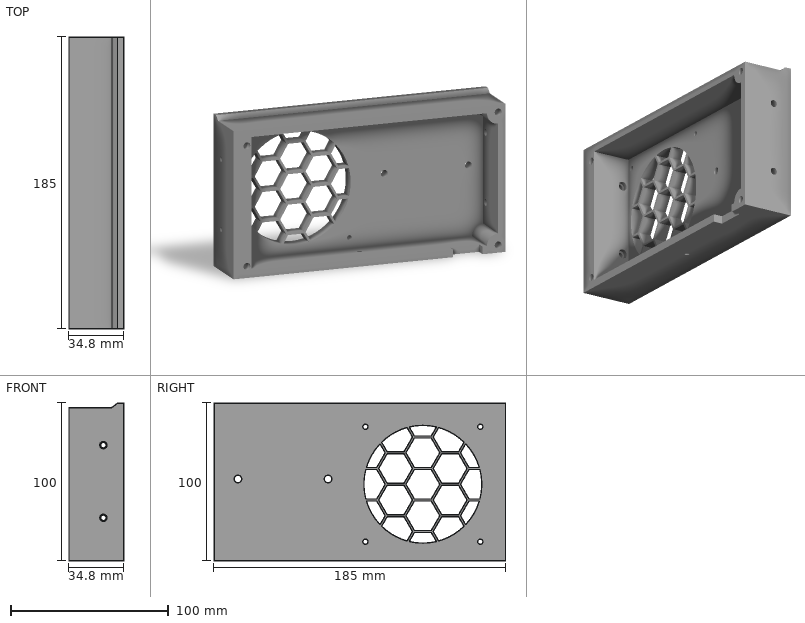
import cadquery as cq
import math

depth = 34.8
length = 185.0
height = 100.0
lip_rise = 2.8
body_height = height - lip_rise
lip_start = 27.2
lip_flat_start = 30.7

wall = 5.0
thick_wall = 12.2
plate = 8.7
cavity_depth = depth - plate
cavity_right = -length / 2 + wall
cavity_left = length / 2 - thick_wall
cavity_top = body_height - wall
corner_post_radius = 7.5

cover_hole = 4.6
cover_hole_depth = 10.0
thick_wall_cover_y = 83.5
thick_wall_cover_zs = (7.5, 86.8)
post_cover_zs = (wall, cavity_top)

fan_y = 40.0
fan_z = body_height / 2
fan_opening = 74.5
fan_screw_pitch = 72.9
fan_screw_hole = 3.1
cell_pitch = 20.0
rib = 1.5
columns_each_side = 2
rows_each_side = 3

plate_hole = 4.6
plate_hole_z = 52.0
plate_hole_ys = (-20.2, -77.3)

end_hole_x = 21.8
end_hole_zs = (27.4, 73.5)
end_insert_hole = 4.6
end_screw_hole = 3.3
end_head_hole = 6.0
end_head_depth = 3.0

notch_width = 20.2
notch_center = -66.8
notch_depth = 6.3
floor_hole = 3.1
floor_hole_x = depth / 2


def cylinder_x(diameter, y, z, start, end):
    """Cylinder along X between two X positions."""
    return cq.Workplane("YZ", origin=(start, y, z)).circle(diameter / 2).extrude(end - start)


def cylinder_y(diameter, x, z, start, end):
    """Cylinder along Y between two Y positions."""
    return cq.Workplane("XZ", origin=(x, end, z)).circle(diameter / 2).extrude(end - start)


def make_body():
    """Solid block with a sloped lip along the top of the closed side."""
    profile = [
        (0, 0),
        (depth, 0),
        (depth, height),
        (lip_flat_start, height),
        (lip_start, body_height),
        (0, body_height),
    ]
    return cq.Workplane("XZ").polyline(profile).close().extrude(length / 2, both=True)


def make_cavity():
    """Inside space, leaving a round screw post in both corners at the thin end wall."""
    width = cavity_left - cavity_right
    cavity = cq.Workplane("XY").box(cavity_depth, width, cavity_top - wall, centered=False)
    cavity = cavity.translate((0, cavity_right, wall))
    for z in post_cover_zs:
        cavity = cavity.cut(cylinder_x(2 * corner_post_radius, cavity_right, z, 0, cavity_depth))
    return cavity


def make_grille_openings():
    """Hexagonal cells through the plate, trimmed to the round fan opening."""
    corner_diameter = (cell_pitch - rib) / math.cos(math.pi / 6)
    column_pitch = cell_pitch * math.cos(math.pi / 6)
    centers = []
    for column in range(-columns_each_side, columns_each_side + 1):
        shift = 0.5 * (column % 2)
        for row in range(-rows_each_side, rows_each_side + 1):
            centers.append((column * column_pitch, (row + shift) * cell_pitch))
    cells = (
        cq.Workplane("YZ", origin=(cavity_depth, fan_y, fan_z))
        .pushPoints(centers)
        .polygon(6, corner_diameter)
        .extrude(plate)
    )
    return cells.intersect(cylinder_x(fan_opening, fan_y, fan_z, cavity_depth, depth))


def make_cover_holes():
    """Blind holes in the open rim: two in the thick end wall, two in the corner posts."""
    centers = [(thick_wall_cover_y, z) for z in thick_wall_cover_zs]
    centers += [(cavity_right, z) for z in post_cover_zs]
    return [cylinder_x(cover_hole, y, z, 0, cover_hole_depth) for y, z in centers]


def make_plate_holes():
    """Four fan screw holes and two larger plain holes through the plate."""
    half_pitch = fan_screw_pitch / 2
    holes = []
    for y in (fan_y - half_pitch, fan_y + half_pitch):
        for z in (fan_z - half_pitch, fan_z + half_pitch):
            holes.append(cylinder_x(fan_screw_hole, y, z, cavity_depth, depth))
    for y in plate_hole_ys:
        holes.append(cylinder_x(plate_hole, y, plate_hole_z, cavity_depth, depth))
    return holes


def make_end_wall_holes():
    """Plain holes in the thin end wall and, in line, counterbored ones in the thick end wall."""
    head_end = cavity_left + end_head_depth
    holes = []
    for z in end_hole_zs:
        holes.append(cylinder_y(end_insert_hole, end_hole_x, z, -length / 2, cavity_right))
        holes.append(cylinder_y(end_screw_hole, end_hole_x, z, cavity_left, length / 2))
        holes.append(cylinder_y(end_head_hole, end_hole_x, z, cavity_left, head_end))
    return holes


def make_bottom_cuts():
    """Edge notch and a small hole, both through the bottom wall."""
    notch = cq.Workplane("XY").box(notch_depth, notch_width, wall, centered=(False, True, False))
    hole = cq.Workplane("XY").center(floor_hole_x, 0).circle(floor_hole / 2).extrude(wall)
    return [notch.translate((0, notch_center, 0)), hole]


cuts = [make_cavity(), make_grille_openings()]
cuts += make_cover_holes()
cuts += make_plate_holes()
cuts += make_end_wall_holes()
cuts += make_bottom_cuts()

result = make_body()
for cut in cuts:
    result = result.cut(cut)